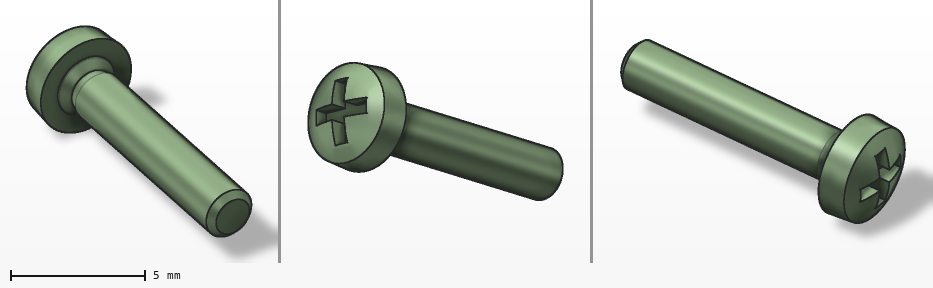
import cadquery as cq
import math

total_length = 11.58
head_diameter = 4.0
head_rim_radius = 1.91
head_back_x = 1.57
dome_sphere_radius = 4.0
shank_diameter = 2.0
shank_start_x = 2.37
neck_radius = 0.88
neck_x = 1.96
collar_radius = 1.25
collar_chamfer = 0.03
tip_chamfer = 0.27
recess_slot_width = 0.6
recess_span = 2.5
recess_floor_x = 0.75

head_radius = head_diameter / 2
shank_radius = shank_diameter / 2


def dome_sag(radius):
    """Distance along X from the dome apex to the given radius."""
    return dome_sphere_radius - math.sqrt(dome_sphere_radius**2 - radius**2)


apex_x = -dome_sag(recess_slot_width / math.sqrt(2))
dome_mid_radius = head_rim_radius / 2
dome_middle = (apex_x + dome_sag(dome_mid_radius), dome_mid_radius)
dome_rim_x = apex_x + dome_sag(head_rim_radius)


def screw_body():
    """Domed head, undercut neck and plain shank revolved about X."""
    profile = (
        cq.Workplane("XZ")
        .moveTo(apex_x, 0)
        .threePointArc(dome_middle, (dome_rim_x, head_rim_radius))
        .lineTo(head_back_x, head_radius)
        .lineTo(head_back_x, collar_radius)
        .lineTo(head_back_x + collar_chamfer, collar_radius - collar_chamfer)
        .lineTo(neck_x, neck_radius)
        .lineTo(shank_start_x, shank_radius)
        .lineTo(total_length - tip_chamfer, shank_radius)
        .lineTo(total_length, shank_radius - tip_chamfer)
        .lineTo(total_length, 0)
        .close()
    )
    return profile.revolve(360, (0, 0, 0), (1, 0, 0))


def cross_recess():
    """Two crossed slots cut into the head to a flat floor."""
    plane = cq.Workplane("YZ", origin=(apex_x, 0, 0))
    depth = recess_floor_x - apex_x
    slot_along_y = plane.rect(recess_span, recess_slot_width).extrude(depth)
    slot_along_z = plane.rect(recess_slot_width, recess_span).extrude(depth)
    return slot_along_y.union(slot_along_z)


result = screw_body().cut(cross_recess())